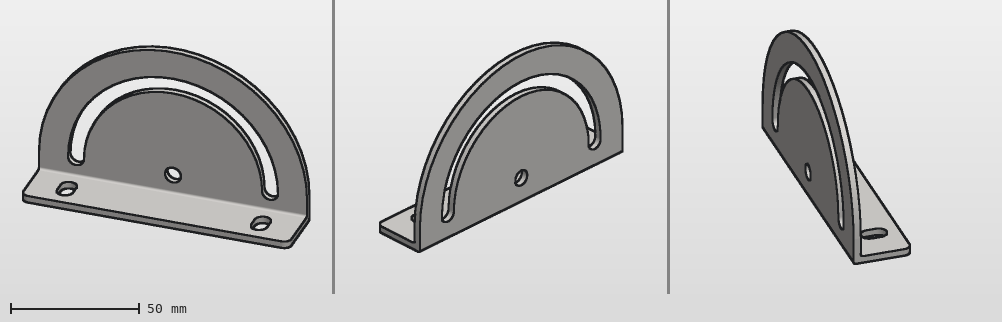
import cadquery as cq

width = 110.5
depth = 24.0
height = 66.3
thickness = 3.0

inner_bend_radius = 1.0
outer_bend_radius = 1.0
flange_corner_radius = 3.0

plate_radius = width / 2
pivot_height = height - plate_radius
slot_width = 6.5
slot_path_radius = 40.0
pivot_diameter = slot_width

mount_slot_length = 10.5
mount_slot_setback = 10.5


def angle_profile():
    """L-shaped sheet section, back face on Y = 0, extruded across the width."""
    return (
        cq.Workplane("YZ")
        .moveTo(0, 0)
        .lineTo(-depth, 0)
        .lineTo(-depth, thickness)
        .lineTo(-thickness, thickness)
        .lineTo(-thickness, height)
        .lineTo(0, height)
        .close()
        .extrude(plate_radius, both=True)
    )


def round_edges(body):
    """Round both sides of the bend and the two front corners of the flange."""
    inner_bend = cq.selectors.NearestToPointSelector((0, -thickness, thickness))
    outer_bend = cq.selectors.NearestToPointSelector((0, 0, 0))
    body = body.edges("|X").edges(inner_bend).fillet(inner_bend_radius)
    body = body.edges("|X").edges(outer_bend).fillet(outer_bend_radius)
    return body.edges("|Z and <Y").fillet(flange_corner_radius)


def front_outline():
    """Straight sides up to the pivot height, then a semicircle; spans the full depth."""
    return (
        cq.Workplane("XZ")
        .moveTo(-plate_radius, 0)
        .lineTo(-plate_radius, pivot_height)
        .threePointArc((0, height), (plate_radius, pivot_height))
        .lineTo(plate_radius, 0)
        .close()
        .extrude(depth)
    )


def curved_slot():
    """Half-circle slot about the pivot with round ends."""
    outer = slot_path_radius + slot_width / 2
    inner = slot_path_radius - slot_width / 2
    end_bottom = -slot_width / 2
    return (
        cq.Workplane("XZ", origin=(0, 0, pivot_height))
        .moveTo(-outer, 0)
        .threePointArc((0, outer), (outer, 0))
        .threePointArc((slot_path_radius, end_bottom), (inner, 0))
        .threePointArc((0, inner), (-inner, 0))
        .threePointArc((-slot_path_radius, end_bottom), (-outer, 0))
        .close()
        .extrude(thickness)
    )


def pivot_hole():
    return (
        cq.Workplane("XZ", origin=(0, 0, pivot_height))
        .circle(pivot_diameter / 2)
        .extrude(thickness)
    )


def mount_slots():
    """Two slots through the flange, elongated along Y."""
    slot_y = mount_slot_setback - depth
    return (
        cq.Workplane("XY")
        .pushPoints([(-slot_path_radius, slot_y), (slot_path_radius, slot_y)])
        .slot2D(mount_slot_length, slot_width, 90)
        .extrude(thickness)
    )


bracket = round_edges(angle_profile()).intersect(front_outline())
result = bracket.cut(curved_slot()).cut(pivot_hole()).cut(mount_slots())